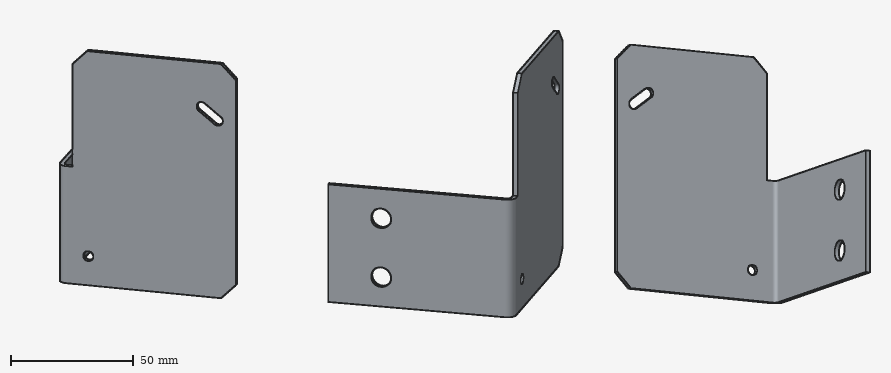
import cadquery as cq
import math

width = 76.2
depth = 78.8
height = 101.6
thickness = 2.0
bend_radius = 3.8

side_height = 50.8
step_width = 6.3
corner_cut = 6.3

small_hole_diameter = 4.3
small_hole_x = 13.1
small_hole_z = 12.7
slot_width = 4.3
slot_start = (61.6, 82.2)
slot_end = (68.5, 76.9)

side_hole_diameter = 8.4
side_hole_y = 56.4
side_hole_spacing = side_height / 2


def front_plane():
    """Workplane on the outer front face: local x is X, local y is Z."""
    return cq.Workplane("XZ")


def bent_sheet():
    """L-shaped sheet with concentric inner and outer bend arcs, at full height."""
    outer = cq.Workplane("XY").rect(width, depth, centered=False).extrude(height)
    outer = outer.edges("|Z and <X and <Y").fillet(bend_radius)
    inner = (
        cq.Workplane("XY")
        .moveTo(thickness, thickness)
        .rect(width, depth, centered=False)
        .extrude(height)
        .edges("|Z and <X and <Y")
        .fillet(bend_radius - thickness)
    )
    return outer.cut(inner)


def flange_outline():
    """Solid that trims the sheet to its stepped outline with cut corners."""
    points = [
        (0, 0),
        (width - corner_cut, 0),
        (width, corner_cut),
        (width, height - corner_cut),
        (width - corner_cut, height),
        (step_width + corner_cut, height),
        (step_width, height - corner_cut),
        (step_width, side_height),
        (0, side_height),
    ]
    return front_plane().polyline(points).close().extrude(-depth)


def front_openings():
    """Cutters for the round hole and the slot through the front flange."""
    hole = front_plane().center(small_hole_x, small_hole_z).circle(small_hole_diameter / 2).extrude(-thickness)
    run = slot_end[0] - slot_start[0]
    rise = slot_end[1] - slot_start[1]
    slot = (
        front_plane()
        .center(slot_start[0] + run / 2, slot_start[1] + rise / 2)
        .slot2D(math.hypot(run, rise) + slot_width, slot_width, math.degrees(math.atan2(rise, run)))
        .extrude(-thickness)
    )
    return hole.union(slot)


def side_holes():
    """Cutters for the two holes through the side flange."""
    return (
        cq.Workplane("YZ")
        .center(side_hole_y, side_height / 2)
        .rarray(1, side_hole_spacing, 1, 2)
        .circle(side_hole_diameter / 2)
        .extrude(thickness)
    )


result = bent_sheet().intersect(flange_outline()).cut(front_openings()).cut(side_holes())